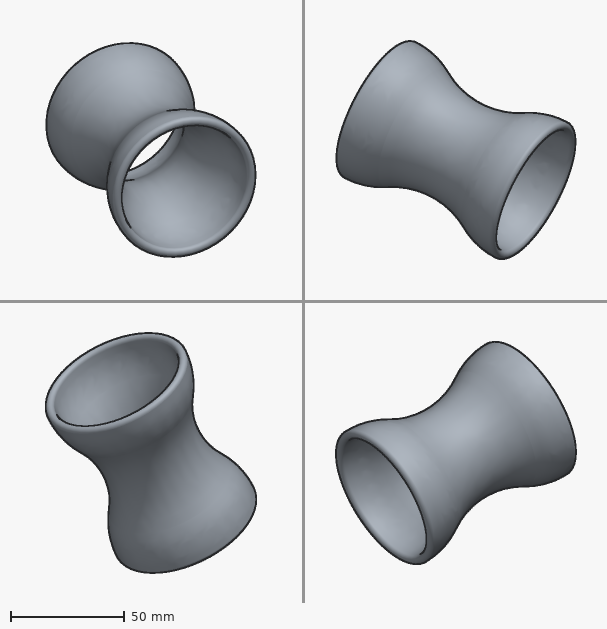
import cadquery as cq
import math

LENGTH = 83.7
RIM_RADIUS = 33.8
WAIST_RADIUS = 23.3
WALL = 4.2
WAIST_ARC_RADIUS = 44.1

lip_radius = WALL / 2
lip_x = LENGTH / 2 - lip_radius
flare_rise = RIM_RADIUS - WAIST_RADIUS

arc_radius_sum = (lip_x**2 + flare_rise**2) / (2 * flare_rise)
flare_arc_radius = arc_radius_sum - WAIST_ARC_RADIUS
tangent_angle = math.asin(lip_x / arc_radius_sum)

waist_center_y = WAIST_RADIUS + WAIST_ARC_RADIUS
flare_center_y = RIM_RADIUS - flare_arc_radius


def waist_point(angle, depth):
    """Point on the waist arc, offset inward by depth into the wall."""
    radius = WAIST_ARC_RADIUS + depth
    return (radius * math.sin(angle), waist_center_y - radius * math.cos(angle))


def flare_point(angle, depth, side):
    """Point on the flare arc at side -1 or +1, offset inward by depth."""
    radius = flare_arc_radius - depth
    x = lip_x - radius * math.sin(angle)
    return (side * x, flare_center_y + radius * math.cos(angle))


def add_wall_line(profile, depth, direction):
    """Add flare, waist and flare arcs along X in the given direction."""
    half_angle = tangent_angle / 2
    return (
        profile
        .threePointArc(flare_point(half_angle, depth, -direction),
                       waist_point(-direction * tangent_angle, depth))
        .threePointArc(waist_point(0, depth),
                       waist_point(direction * tangent_angle, depth))
        .threePointArc(flare_point(half_angle, depth, direction),
                       flare_point(0, depth, direction))
    )


def add_lip(profile, depth, side):
    """Add the half-round lip, ending at depth on the other wall surface."""
    lip_tip = (side * LENGTH / 2, RIM_RADIUS - lip_radius)
    return profile.threePointArc(lip_tip, flare_point(0, depth, side))


profile = cq.Workplane("XY").moveTo(*flare_point(0, 0, -1))
profile = add_wall_line(profile, depth=0, direction=1)
profile = add_lip(profile, depth=WALL, side=1)
profile = add_wall_line(profile, depth=WALL, direction=-1)
profile = add_lip(profile, depth=0, side=-1)

result = profile.close().revolve(360, (0, 0, 0), (1, 0, 0))